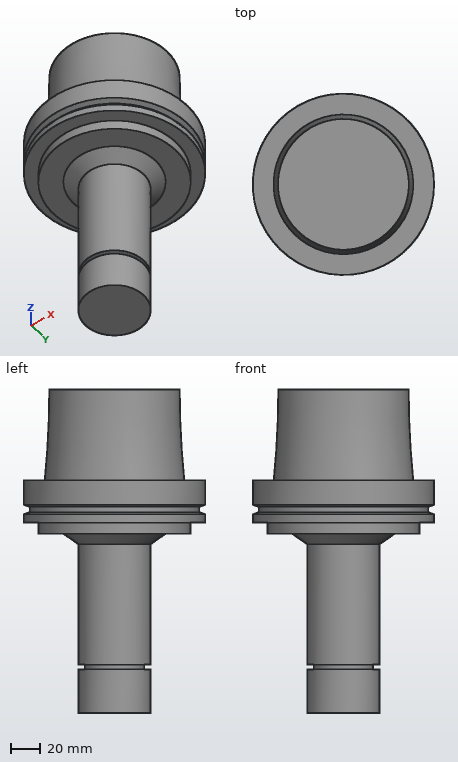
import cadquery as cq

total_height = 223.0
shank_bottom_z = 160.5
flange_height = 29.2
shoulder_height = 7.8
cone_height = 7.1
nut_height = 30.0
neck_height = 3.3

shank_base_radius = 48.2
shank_top_radius = 45.0

flange_radius = 125.0 / 2
groove_radius = 117.0 / 2
groove_top_z = 143.6
groove_bottom_z = 137.0
groove_bevel_height = 1.5

shoulder_radius = 105.0 / 2
cone_top_radius = 35.2
shaft_radius = 50.0 / 2
neck_radius = 41.0 / 2

flange_bottom_z = shank_bottom_z - flange_height
shoulder_bottom_z = flange_bottom_z - shoulder_height
cone_bottom_z = shoulder_bottom_z - cone_height
neck_top_z = nut_height + neck_height
shank_mid_z = (shank_bottom_z + total_height) / 2
shank_mid_radius = shank_top_radius + (shank_base_radius - shank_top_radius) / 4


def make_holder():
    """Revolve the tool holder: shank, grooved flange, shoulder, cone, shaft and neck."""
    profile = (
        cq.Workplane("XZ")
        .moveTo(0, nut_height)
        .lineTo(neck_radius, nut_height)
        .lineTo(neck_radius, neck_top_z)
        .lineTo(shaft_radius, neck_top_z)
        .lineTo(shaft_radius, cone_bottom_z)
        .lineTo(cone_top_radius, shoulder_bottom_z)
        .lineTo(shoulder_radius, shoulder_bottom_z)
        .lineTo(shoulder_radius, flange_bottom_z)
        .lineTo(flange_radius, flange_bottom_z)
        .lineTo(flange_radius, groove_bottom_z)
        .lineTo(groove_radius, groove_bottom_z + groove_bevel_height)
        .lineTo(groove_radius, groove_top_z - groove_bevel_height)
        .lineTo(flange_radius, groove_top_z)
        .lineTo(flange_radius, shank_bottom_z)
        .lineTo(shank_base_radius, shank_bottom_z)
        .threePointArc((shank_mid_radius, shank_mid_z), (shank_top_radius, total_height))
        .lineTo(0, total_height)
        .close()
    )
    return profile.revolve(360, (0, 0), (0, 1))


def make_nut():
    """Build the clamping nut that closes the lower end, seated against the neck."""
    return cq.Workplane("XY").circle(shaft_radius).extrude(nut_height)


holder = make_holder()
nut = make_nut()

result = cq.Compound.makeCompound([holder.val(), nut.val()])